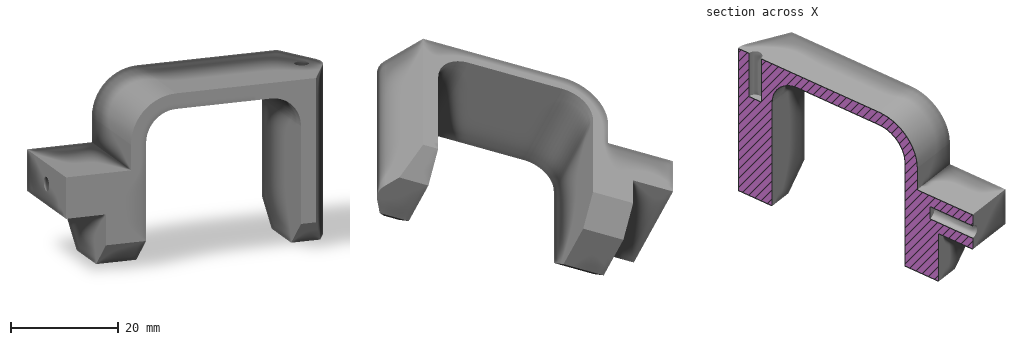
import cadquery as cq
import math

width = 20.0
length = 55.0
height = 33.0

wall = 3.0
inner_radius = 6.0
outer_radius = inner_radius + wall
front_face = 13.0
front_inside = front_face + wall
back_inside = 46.95
leg_chamfer = 5.0

foot_front = 8.0
block_bottom = 11.0
block_top = 19.05

shoulder = back_inside + wall
tip_radius = 4.0
tip_center = length - tip_radius

hole_diameter = 2.75
hole_depth = 10.0


def strap():
    """Side outline of the whole part, extruded across the width."""
    bend = math.sqrt(0.5)
    outer_bend_y = front_face + outer_radius * (1 - bend)
    outer_bend_z = height - outer_radius * (1 - bend)
    inside_top = height - wall
    inner_offset = inner_radius * (1 - bend)
    profile = (
        cq.Workplane("YZ")
        .moveTo(foot_front, 0)
        .lineTo(foot_front, block_bottom)
        .lineTo(0, block_bottom)
        .lineTo(0, block_top)
        .lineTo(front_face, block_top)
        .lineTo(front_face, height - outer_radius)
        .threePointArc((outer_bend_y, outer_bend_z), (front_face + outer_radius, height))
        .lineTo(length, height)
        .lineTo(length, 0)
        .lineTo(back_inside, 0)
        .lineTo(back_inside, inside_top - inner_radius)
        .threePointArc(
            (back_inside - inner_offset, inside_top - inner_offset),
            (back_inside - inner_radius, inside_top),
        )
        .lineTo(front_inside + inner_radius, inside_top)
        .threePointArc(
            (front_inside + inner_offset, inside_top - inner_offset),
            (front_inside, inside_top - inner_radius),
        )
        .lineTo(front_inside, 0)
        .close()
    )
    return profile.extrude(width / 2, both=True)


def plan_envelope():
    """Plan outline whose slanted back edges run tangent into the tip arc."""
    half = width / 2
    rise = tip_center - shoulder
    slope = math.atan2(rise, half) + math.asin(tip_radius / math.hypot(half, rise))
    tangent_x = tip_radius * math.sin(slope)
    tangent_y = tip_center + tip_radius * math.cos(slope)
    return (
        cq.Workplane("XY")
        .moveTo(-half, 0)
        .lineTo(half, 0)
        .lineTo(half, shoulder)
        .lineTo(tangent_x, tangent_y)
        .threePointArc((0, length), (-tangent_x, tangent_y))
        .lineTo(-half, shoulder)
        .close()
        .extrude(height)
    )


def leg_corner(side):
    """Wedge that trims the lower corner of both legs on one side (-1 or 1)."""
    edge = side * width / 2
    return (
        cq.Workplane("XZ")
        .moveTo(edge, 0)
        .lineTo(edge, leg_chamfer)
        .lineTo(edge - side * leg_chamfer, 0)
        .close()
        .extrude(-length)
    )


def hole(start, direction):
    return cq.Workplane(
        cq.Solid.makeCylinder(hole_diameter / 2, hole_depth, cq.Vector(*start), cq.Vector(*direction))
    )


result = strap().intersect(plan_envelope())
for side in (-1, 1):
    result = result.cut(leg_corner(side))

result = result.cut(hole((0, tip_center, height), (0, 0, -1)))
result = result.cut(hole((0, 0, (block_bottom + block_top) / 2), (0, 1, 0)))